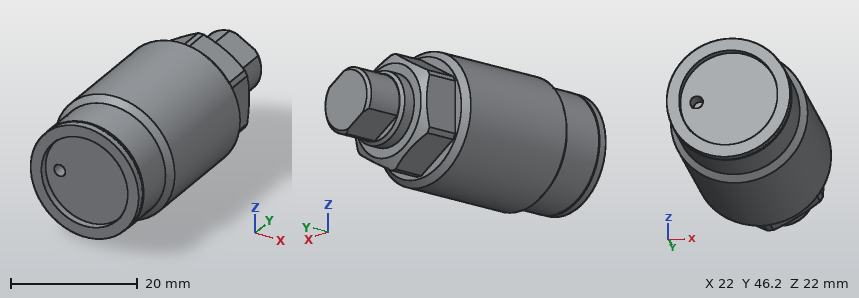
import cadquery as cq
import math

total_length = 46.25

ring_thickness = 1.3
ring_inner_radius = 7.9
ring_outer_radius = 9.9

front_radius = 9.95
joint_chamfer = 0.25
step_y = 8.3
barrel_radius = 11.0
barrel_chamfer = barrel_radius - front_radius
barrel_end_y = 30.7
pin_hole_radius = 1.0
pin_hole_offset = 5.3
pin_hole_depth = 2.78

hex_end_y = 37.25
hex_across_flats = 16.97
hex_corner_radius = 9.55
hex_rim_radius = 7.7
hex_chamfer_angle = 30.0
hex_turn = 30.0

collar_radius = 6.05
collar_chamfer = 0.55
collar_end_y = 39.78
tip_radius = 5.4
tip_chamfer = 0.5
flat_distance = 4.5
flat_direction = 60.0


def section(y):
    """Sketch plane at the given Y, extruding towards +Y, with local x along X and local y along -Z."""
    return cq.Workplane(cq.Plane(origin=(0, y, 0), xDir=(1, 0, 0), normal=(0, 1, 0)))


def cylinder(start_y, end_y, radius):
    return section(start_y).circle(radius).extrude(end_y - start_y)


def make_ring():
    """Flat ring, slightly narrower than the front of the housing it sits on."""
    ring = cylinder(0, ring_thickness, ring_outer_radius)
    return ring.cut(cylinder(0, ring_thickness, ring_inner_radius))


def make_hexagon():
    """Hexagon with corners on Z, turned to a round at the corners and coned at its end."""
    corner_diameter = hex_across_flats / math.cos(math.pi / 6)
    length = hex_end_y - barrel_end_y
    turned_plane = section(barrel_end_y).transformed(rotate=(0, 0, hex_turn))
    prism = turned_plane.polygon(6, corner_diameter).extrude(length)
    cone_length = (hex_corner_radius - hex_rim_radius) * math.tan(math.radians(hex_chamfer_angle))
    envelope = (
        cq.Workplane("XY")
        .moveTo(0, barrel_end_y)
        .lineTo(hex_corner_radius, barrel_end_y)
        .lineTo(hex_corner_radius, hex_end_y - cone_length)
        .lineTo(hex_rim_radius, hex_end_y)
        .lineTo(0, hex_end_y)
        .close()
        .revolve(360, (0, 0, 0), (0, 1, 0))
    )
    return prism.intersect(envelope)


def make_housing():
    """Barrel with a narrower chamfered front, a rear hexagon and an off-centre blind hole in the front face."""
    front = cylinder(ring_thickness, step_y, front_radius).faces("<Y").chamfer(joint_chamfer)
    barrel = cylinder(step_y, barrel_end_y, barrel_radius)
    barrel = barrel.faces("<Y or >Y").chamfer(barrel_chamfer)
    pin_hole = (
        section(ring_thickness)
        .center(-pin_hole_offset, 0)
        .circle(pin_hole_radius)
        .extrude(pin_hole_depth)
    )
    return front.union(barrel).union(make_hexagon()).cut(pin_hole)


def make_shaft():
    """Chamfered collar carrying a round tip with two opposite flats."""
    collar = cylinder(hex_end_y, collar_end_y, collar_radius).faces(">Y").chamfer(collar_chamfer)
    tip = cylinder(collar_end_y, total_length, tip_radius).faces(">Y").chamfer(tip_chamfer)
    flats = (
        section(collar_end_y)
        .transformed(rotate=(0, 0, -flat_direction))
        .rect(2 * flat_distance, 2 * tip_radius)
        .extrude(total_length - collar_end_y)
    )
    return collar.union(tip.intersect(flats))


ring = make_ring()
housing = make_housing()
shaft = make_shaft()

result = cq.Compound.makeCompound([ring.val(), housing.val(), shaft.val()])